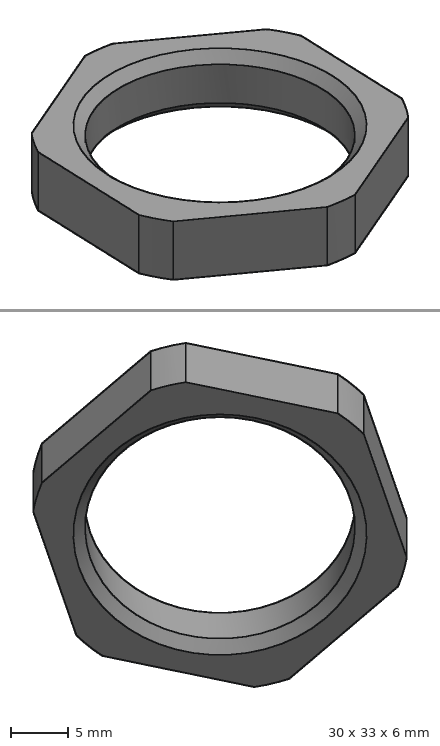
import cadquery as cq

corner_diameter = 32.98
across_flats = 30.0
thickness = 6.0
bore_diameter = 23.55
chamfer_size = 1.02
flat_angles = (0, 60, 120)


def hexagon_body():
    """Cylinder trimmed by three pairs of flats, leaving rounded corners."""
    body = cq.Workplane("XY").circle(corner_diameter / 2).extrude(thickness)
    for angle in flat_angles:
        slab = (
            cq.Workplane("XY")
            .rect(across_flats, 2 * corner_diameter)
            .extrude(thickness)
            .rotate((0, 0, 0), (0, 0, 1), angle)
        )
        body = body.intersect(slab)
    return body


def chamfered_bore():
    """Through-hole cutter, revolved about Z, flared at both ends."""
    bore_radius = bore_diameter / 2
    mouth_radius = bore_radius + chamfer_size
    return (
        cq.Workplane("XZ")
        .polyline([
            (0, 0),
            (mouth_radius, 0),
            (bore_radius, chamfer_size),
            (bore_radius, thickness - chamfer_size),
            (mouth_radius, thickness),
            (0, thickness),
        ])
        .close()
        .revolve(360, (0, 0, 0), (0, 1, 0))
    )


result = hexagon_body().cut(chamfered_bore())